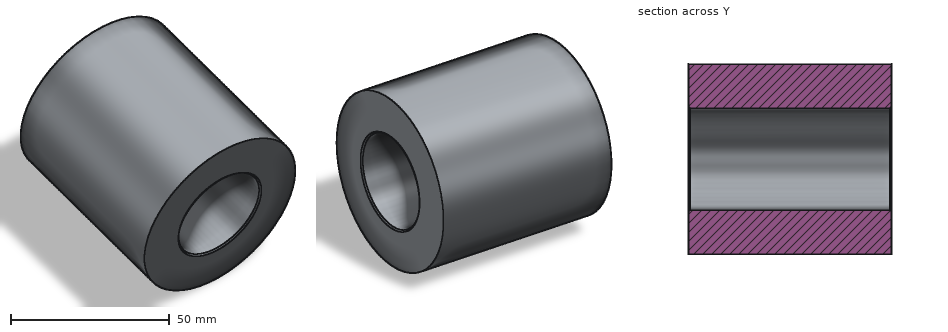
import cadquery as cq

length = 64.0
outer_diameter = 60.0
bore_diameter = 32.0
bore_chamfer = 0.5

bushing = (
    cq.Workplane("YZ", origin=(-length / 2, 0, 0))
    .circle(outer_diameter / 2)
    .circle(bore_diameter / 2)
    .extrude(length)
)

bore_rim_selector = cq.selectors.RadiusNthSelector(0)
result = bushing.faces("<X or >X").edges(bore_rim_selector).chamfer(bore_chamfer)